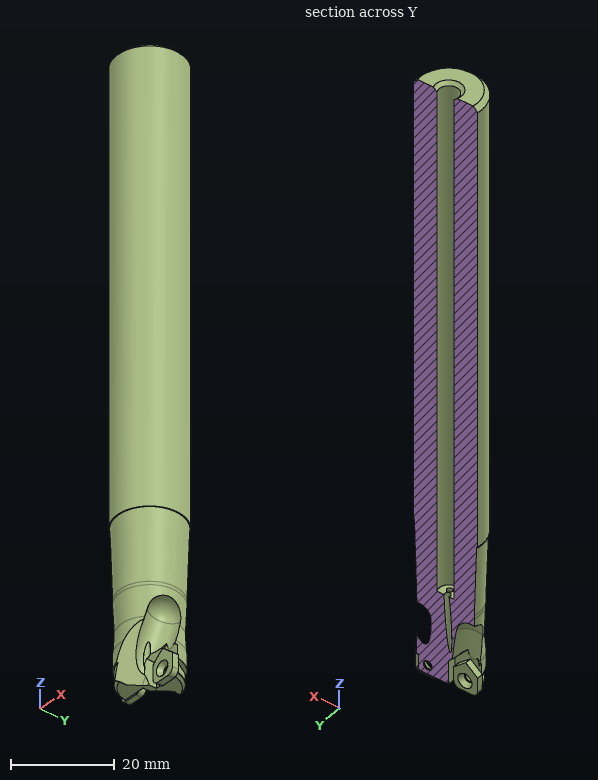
import cadquery as cq
import math

TOOL_LENGTH = 145.45
SHANK_RADIUS = 15.88 / 2
SHANK_START = 37.4
SHANK_CHAMFER = 1.1

NECK_TOP_RADIUS = 7.74
HEAD_RADIUS = 7.2
NECK_END = 20.4
NECK_BAND = 0.8
WAIST_RADIUS = 6.9
WAIST_HEIGHT = 12.5
FLARE_HEIGHT = 8.0
HEAD_RELIEF_RADIUS = 6.9
HEAD_RELIEF_HEIGHT = 4.2
HEAD_BOTTOM = 0.4
HEAD_BOTTOM_CHAMFER = 0.6

BORE_RADIUS = 2.3
BORE_BOTTOM = 22.0
COUNTERSINK_RADIUS = 3.1
BRANCH_RADIUS = 0.65
BRANCH_START = cq.Vector(0.2, -0.6, BORE_BOTTOM + 1.0)
BRANCH_END = cq.Vector(1.5, -2.0, 4.2)

TOOTH_COUNT = 2
FLUTE_RADIUS = 3.6
FLUTE_TOP = cq.Vector(6.3, -1.3, 14.1)
FLUTE_BOTTOM = cq.Vector(4.1, -3.6, 3.0)
FLUTE_OVERRUN = 6.0
FLOOR_CLIMB_ANGLE = 32.6
FLOOR_SWING_ANGLE = 31.6
FLOOR_SHIFT = 1.0
FLOOR_REACH = 12.0
FLOOR_CUT_LENGTH = 24.0

INSERT_INNER = 1.6
INSERT_OUTER = 7.4
INSERT_EAVE_HEIGHT = 4.8
INSERT_PEAK_HEIGHT = 7.2
INSERT_FACE_Y = -0.5
INSERT_THICKNESS = 1.5
INSERT_CORNER_RADIUS = 1.4
INSERT_MIDDLE = (INSERT_INNER + INSERT_OUTER) / 2

POCKET_FLOOR_Y = INSERT_FACE_Y + INSERT_THICKNESS
POCKET_INNER = 0.8
POCKET_OUTER = 9.0
POCKET_EAVE_HEIGHT = 6.2
POCKET_PEAK_HEIGHT = 9.8
POCKET_OPENING = 3.0

HEEL_ANGLE = 31.0
HEEL_DISTANCE = 6.2
HEEL_BOTTOM = 1.2

SCREW_X = 4.3
SCREW_Z = 2.6
SCREW_HOLE_RADIUS = 1.0
SCREW_SEAT_RADIUS = 1.7
SCREW_SEAT_ANGLE = 60.0
SCREW_DEPTH = 3.3


def drilled_hole(start, end, radius):
    """Round rod from one point to another."""
    axis = end - start
    return cq.Workplane("XY").add(cq.Solid.makeCylinder(radius, axis.Length, start, axis))


def blank():
    """Turned body with its shank, tapered neck, waisted head and end relief."""
    half_profile = [
        (0, HEAD_BOTTOM),
        (HEAD_RELIEF_RADIUS - HEAD_BOTTOM_CHAMFER, HEAD_BOTTOM),
        (HEAD_RELIEF_RADIUS, HEAD_BOTTOM + HEAD_BOTTOM_CHAMFER),
        (HEAD_RELIEF_RADIUS, HEAD_RELIEF_HEIGHT),
        (HEAD_RADIUS, HEAD_RELIEF_HEIGHT),
        (HEAD_RADIUS, FLARE_HEIGHT),
        (WAIST_RADIUS, WAIST_HEIGHT),
        (HEAD_RADIUS, NECK_END - NECK_BAND),
        (HEAD_RADIUS, NECK_END),
        (NECK_TOP_RADIUS, SHANK_START),
        (SHANK_RADIUS, SHANK_START),
        (SHANK_RADIUS, TOOL_LENGTH - SHANK_CHAMFER),
        (SHANK_RADIUS - SHANK_CHAMFER, TOOL_LENGTH),
        (0, TOOL_LENGTH),
    ]
    return cq.Workplane("XZ").polyline(half_profile).close().revolve(360, (0, 0), (0, 1))


def coolant_bore():
    """Axial bore from the shank end, with a 90 degree countersink."""
    mouth = TOOL_LENGTH - (COUNTERSINK_RADIUS - BORE_RADIUS)
    half_profile = [
        (0, BORE_BOTTOM),
        (BORE_RADIUS, BORE_BOTTOM),
        (BORE_RADIUS, mouth),
        (COUNTERSINK_RADIUS, TOOL_LENGTH),
        (0, TOOL_LENGTH),
    ]
    return cq.Workplane("XZ").polyline(half_profile).close().revolve(360, (0, 0), (0, 1))


def flute():
    """Ball-ended groove that runs out into a climbing flat floor below a vertical wall."""
    direction = (FLUTE_BOTTOM - FLUTE_TOP).normalized()
    groove_end = FLUTE_BOTTOM + direction * FLUTE_OVERRUN
    groove = drilled_hole(FLUTE_TOP, groove_end, FLUTE_RADIUS)
    ball = cq.Workplane("XY").sphere(FLUTE_RADIUS).translate(FLUTE_TOP)

    climb = math.radians(FLOOR_CLIMB_ANGLE)
    swing = math.radians(FLOOR_SWING_ANGLE)
    axis_up = cq.Vector(math.sin(climb), 0, math.cos(climb))
    across = cq.Vector(math.cos(climb), 0, -math.sin(climb))
    corner_centre = FLUTE_BOTTOM + cq.Vector(FLOOR_SHIFT, 0, 0)
    section = cq.Plane(corner_centre - axis_up * FLUTE_OVERRUN, across, axis_up)

    floor_start = (-FLUTE_RADIUS * math.cos(swing), FLUTE_RADIUS * math.sin(swing))
    floor_end = (
        floor_start[0] - FLOOR_REACH * math.sin(swing),
        floor_start[1] - FLOOR_REACH * math.cos(swing),
    )
    middle_angle = (math.pi / 2 - swing) / 2
    corner_middle = (-FLUTE_RADIUS * math.sin(middle_angle), FLUTE_RADIUS * math.cos(middle_angle))
    floor_cut = (
        cq.Workplane(section)
        .moveTo(FLOOR_REACH, FLUTE_RADIUS)
        .lineTo(0, FLUTE_RADIUS)
        .threePointArc(corner_middle, floor_start)
        .lineTo(*floor_end)
        .lineTo(FLOOR_REACH, floor_end[1])
        .close()
        .extrude(FLOOR_CUT_LENGTH)
    )
    return groove.union(ball).union(floor_cut)


def insert_pocket():
    """Gabled recess in the flute wall that leaves clearance around the insert."""
    eave_rise = (POCKET_PEAK_HEIGHT - POCKET_EAVE_HEIGHT) / (INSERT_MIDDLE - POCKET_INNER)
    outer_eave = POCKET_PEAK_HEIGHT - eave_rise * (POCKET_OUTER - INSERT_MIDDLE)
    outline = [
        (POCKET_INNER, 0),
        (POCKET_INNER, POCKET_EAVE_HEIGHT),
        (INSERT_MIDDLE, POCKET_PEAK_HEIGHT),
        (POCKET_OUTER, outer_eave),
        (POCKET_OUTER, 0),
    ]
    return (
        cq.Workplane("XZ", origin=(0, POCKET_FLOOR_Y, 0))
        .polyline(outline)
        .close()
        .extrude(POCKET_OPENING)
    )


def heel_flat():
    """Flat on the end relief behind the insert."""
    size = 2 * SHANK_RADIUS
    return (
        cq.Workplane("XY", origin=(0, 0, HEEL_BOTTOM))
        .rect(size, size)
        .extrude(HEAD_RELIEF_HEIGHT - HEEL_BOTTOM)
        .translate((HEEL_DISTANCE + size / 2, 0, 0))
        .rotate((0, 0, 0), (0, 0, 1), HEEL_ANGLE)
    )


def insert_block():
    """Insert envelope: a gabled plate facing -Y with rounded lower corners."""
    outline = [
        (INSERT_INNER, 0),
        (INSERT_INNER, INSERT_EAVE_HEIGHT),
        (INSERT_MIDDLE, INSERT_PEAK_HEIGHT),
        (INSERT_OUTER, INSERT_EAVE_HEIGHT),
        (INSERT_OUTER, 0),
    ]
    return (
        cq.Workplane("XZ", origin=(0, INSERT_FACE_Y, 0))
        .polyline(outline)
        .close()
        .extrude(-INSERT_THICKNESS)
        .edges("|Y")
        .edges("<Z")
        .fillet(INSERT_CORNER_RADIUS)
    )


def screw_hole(depth):
    """Straight hole along +Y from the insert face."""
    return (
        cq.Workplane("XZ", origin=(SCREW_X, INSERT_FACE_Y, SCREW_Z))
        .circle(SCREW_HOLE_RADIUS)
        .extrude(-depth)
    )


def insert():
    """Cutting insert with its countersunk screw hole."""
    seat_depth = (SCREW_SEAT_RADIUS - SCREW_HOLE_RADIUS) / math.tan(math.radians(SCREW_SEAT_ANGLE / 2))
    seat = cq.Workplane("XY").add(
        cq.Solid.makeCone(
            SCREW_SEAT_RADIUS,
            SCREW_HOLE_RADIUS,
            seat_depth,
            cq.Vector(SCREW_X, INSERT_FACE_Y, SCREW_Z),
            cq.Vector(0, 1, 0),
        )
    )
    return insert_block().cut(screw_hole(INSERT_THICKNESS)).cut(seat)


def at_tooth(shape, index):
    """Turn a shape from the +X tooth to another tooth."""
    return shape.rotate((0, 0, 0), (0, 0, 1), index * 360 / TOOTH_COUNT)


holder = blank().cut(coolant_bore())
inserts = []
for tooth in range(TOOTH_COUNT):
    holder = holder.cut(at_tooth(flute(), tooth))
    holder = holder.cut(at_tooth(insert_pocket(), tooth))
    holder = holder.cut(at_tooth(heel_flat(), tooth))
    holder = holder.cut(at_tooth(screw_hole(SCREW_DEPTH), tooth))
    holder = holder.cut(at_tooth(drilled_hole(BRANCH_START, BRANCH_END, BRANCH_RADIUS), tooth))
    inserts.append(at_tooth(insert(), tooth))

result = cq.Compound.makeCompound([holder.val(), *[body.val() for body in inserts]])